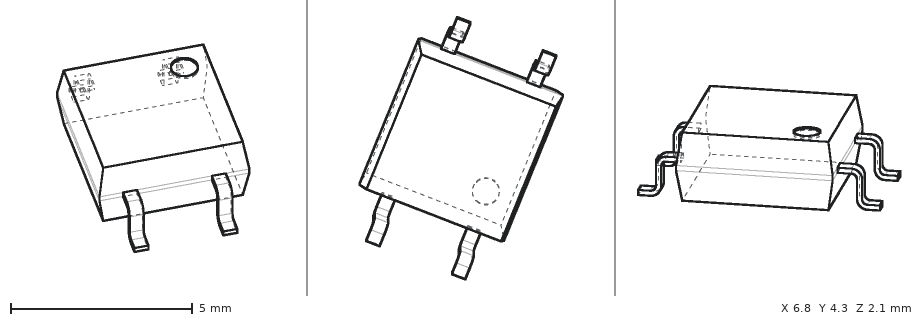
import cadquery as cq

lead_span = 6.8
overall_height = 2.1

housing_length = 4.41
housing_width = 4.3
standoff = 0.1
draft_inset = 0.15
housing_height = overall_height - standoff
mid_height = standoff + housing_height / 2

lead_thickness = 0.15
lead_width = 0.4
lead_pitch = 2.54
foot_reach = 0.495
inner_bend_radius = 0.15
outer_bend_radius = inner_bend_radius + lead_thickness

band_height = lead_thickness

mark_radius = 0.375
mark_edge_distance = 0.75
mark_recess = 0.05
mark_thickness = 0.05
mark_x = -housing_length / 2 + draft_inset + mark_edge_distance
mark_y = housing_width / 2 - draft_inset - mark_edge_distance
mark_floor = overall_height - mark_recess - mark_thickness


def make_mark_cylinder(height):
    """Upright cylinder standing on the floor of the pin 1 pocket."""
    floor_plane = cq.Workplane("XY").workplane(offset=mark_floor)
    return floor_plane.center(mark_x, mark_y).circle(mark_radius).extrude(height)


def make_tapered_half(band_edge, outer_face):
    """Half of the housing, narrowing from the band edge to the top or bottom face."""
    return (
        cq.Workplane("XY")
        .workplane(offset=band_edge)
        .rect(housing_length, housing_width)
        .workplane(offset=outer_face - band_edge)
        .rect(housing_length - 2 * draft_inset, housing_width - 2 * draft_inset)
        .loft(ruled=True)
    )


def make_housing():
    """Moulded housing with a straight middle band and the pin 1 pocket."""
    band = cq.Workplane("XY").box(housing_length, housing_width, band_height).translate((0, 0, mid_height))
    upper_half = make_tapered_half(mid_height + band_height / 2, overall_height)
    lower_half = make_tapered_half(mid_height - band_height / 2, standoff)
    pocket = make_mark_cylinder(mark_recess + mark_thickness)
    return band.union(upper_half).union(lower_half).cut(pocket)


def make_lead(side, y):
    """Gull-wing lead on the -X (side = -1) or +X (side = 1) end, butting against the band."""
    tip = -lead_span / 2
    shank_outer = tip + foot_reach
    shank_inner = shank_outer + lead_thickness
    root = -housing_length / 2
    top = mid_height + lead_thickness / 2
    underside = top - lead_thickness
    lead = (
        cq.Workplane("XZ")
        .moveTo(tip, 0)
        .lineTo(shank_inner - outer_bend_radius, 0)
        .tangentArcPoint((shank_inner, outer_bend_radius), relative=False)
        .lineTo(shank_inner, underside - inner_bend_radius)
        .tangentArcPoint((shank_inner + inner_bend_radius, underside), relative=False)
        .lineTo(root, underside)
        .lineTo(root, top)
        .lineTo(shank_outer + outer_bend_radius, top)
        .radiusArc((shank_outer, top - outer_bend_radius), -outer_bend_radius)
        .lineTo(shank_outer, lead_thickness + inner_bend_radius)
        .radiusArc((shank_outer - inner_bend_radius, lead_thickness), inner_bend_radius)
        .lineTo(tip, lead_thickness)
        .close()
        .extrude(lead_width / 2, both=True)
    )
    if side > 0:
        lead = lead.mirror("YZ")
    return lead.translate((0, y, 0))


housing = make_housing()
pin_mark = make_mark_cylinder(mark_thickness)
leads = []
for side in (-1, 1):
    for y in (-lead_pitch / 2, lead_pitch / 2):
        leads.append(make_lead(side, y).val())

result = cq.Compound.makeCompound([housing.solids().val(), pin_mark.val(), *leads])